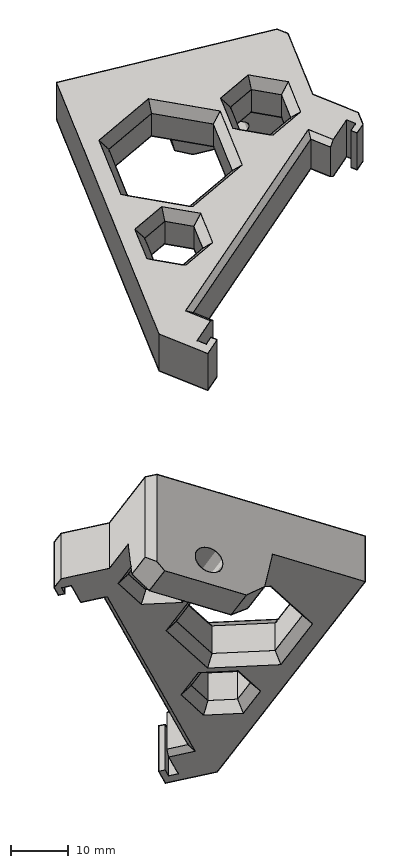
import cadquery as cq
import math

LENGTH = 66
WIDTH = 47.85
HEIGHT = 20.7
PLATE_THICKNESS = 10.0
PLATE_BOTTOM = HEIGHT - PLATE_THICKNESS
BODY_WIDTH = 41.6
CORNER_CUT = 1.5

REACH_EDGE = 63.0
REACH_SHOULDER = 68.5
REACH_SLOT = 71.0
REACH_TIP = 72.7
SHIFT_MIDDLE = -17.2
SHOULDER_INNER = 31.1
LIP = 37.0
SLOT_END = 39.55
LOWER_OUTSIDE = REACH_TIP - 2 * LENGTH
UPPER_OUTSIDE = 25.75
EDGE_CHAMFER = 1.0

WINDOWS = [(21.0, 14.1, 10.95), (15.45, 32.2, 5.35), (39.0, 9.05, 5.15)]
WINDOW_CHAMFER_WIDTH = 1.5
WINDOW_CHAMFER_DEPTH = 2

TAB_TOP_DEPTH = 8.3
TAB_BOTTOM_DEPTH = 6.2
TAB_TOP_START = 17.8
TAB_SIDE_START = 19.35
TAB_BOTTOM_START = 22.85
TAB_CORNER_HEIGHT = 3.05
HOLE_DIAMETER = 5.3
HOLE_Y = 30.0
HOLE_Z = 5.3


def diagonal_point(reach, shift):
    """Convert diagonal coordinates to x, y."""
    return ((reach - shift) / 2, (reach + shift) / 2)


def hook_points(side):
    """Outline from lip tip to the inner shoulder corner; side is +1 for the upper hook, -1 for the lower."""
    corners = [
        (REACH_TIP, LIP),
        (REACH_SLOT, LIP),
        (REACH_SLOT, SLOT_END),
        (REACH_SHOULDER, SLOT_END),
        (REACH_SHOULDER, SHOULDER_INNER),
        (REACH_EDGE, SHOULDER_INNER),
    ]
    return [diagonal_point(reach, SHIFT_MIDDLE + side * offset) for reach, offset in corners]


def make_plate():
    outline = [
        (0, 0),
        (-LOWER_OUTSIDE, 0),
        diagonal_point(REACH_TIP, LOWER_OUTSIDE),
        *hook_points(-1),
        *reversed(hook_points(1)),
        (REACH_TIP - WIDTH, WIDTH),
        (WIDTH - UPPER_OUTSIDE, WIDTH),
        (BODY_WIDTH - UPPER_OUTSIDE, BODY_WIDTH),
        (CORNER_CUT, BODY_WIDTH),
        (0, BODY_WIDTH - CORNER_CUT),
    ]
    return cq.Workplane("XY", origin=(0, 0, PLATE_BOTTOM)).polyline(outline).close().extrude(PLATE_THICKNESS)


def window_cutter(x, y, radius):
    """Hexagonal through cutter, flared by the chamfer at both plate faces."""
    flared_radius = radius + WINDOW_CHAMFER_WIDTH / math.cos(math.pi / 6)
    cutter = (
        cq.Workplane("XY", origin=(x, y, PLATE_BOTTOM))
        .polygon(6, 2 * flared_radius)
        .workplane(offset=WINDOW_CHAMFER_DEPTH)
        .polygon(6, 2 * radius)
        .loft(ruled=True)
    )
    straight = cq.Workplane("XY", origin=(x, y, PLATE_BOTTOM)).polygon(6, 2 * radius).extrude(PLATE_THICKNESS)
    middle = PLATE_BOTTOM + PLATE_THICKNESS / 2
    return straight.union(cutter).union(cutter.mirror("XY", (0, 0, middle)))


def edge_bevel_cutter():
    """Wedges that bevel the diagonal edge and both shoulders at the top and bottom faces."""
    def recess(offset, z):
        grow = offset * math.sqrt(2)
        near = REACH_EDGE - grow
        far = REACH_SHOULDER
        half = SHOULDER_INNER + grow
        corners = [(near, -half), (far, -half), (far, half), (near, half)]
        points = [diagonal_point(reach, SHIFT_MIDDLE + shift) for reach, shift in corners]
        return cq.Workplane("XY", origin=(0, 0, z)).polyline(points).close().wire().val()

    cutter = cq.Workplane("XY")
    for face, inward in [(HEIGHT, -1), (PLATE_BOTTOM, 1)]:
        wires = [recess(EDGE_CHAMFER, face), recess(0, face + inward * EDGE_CHAMFER)]
        cutter = cutter.add(cq.Solid.makeLoft(wires, True))
    return cutter.combine()


def make_tab():
    side = (
        cq.Workplane("YZ")
        .polyline([
            (TAB_TOP_START, PLATE_BOTTOM),
            (TAB_SIDE_START, TAB_CORNER_HEIGHT),
            (TAB_BOTTOM_START, 0),
            (BODY_WIDTH - TAB_CORNER_HEIGHT, 0),
            (BODY_WIDTH, TAB_CORNER_HEIGHT),
            (BODY_WIDTH, PLATE_BOTTOM),
        ])
        .close()
        .extrude(TAB_TOP_DEPTH)
    )
    taper = (
        cq.Workplane("XZ")
        .polyline([(0, 0), (TAB_BOTTOM_DEPTH, 0), (TAB_TOP_DEPTH, PLATE_BOTTOM), (0, PLATE_BOTTOM)])
        .close()
        .extrude(-BODY_WIDTH)
    )
    corner = (
        cq.Workplane("XY")
        .polyline([(0, BODY_WIDTH - CORNER_CUT), (CORNER_CUT, BODY_WIDTH), (0, BODY_WIDTH)])
        .close()
        .extrude(PLATE_BOTTOM)
    )
    hole = cq.Workplane("YZ").center(HOLE_Y, HOLE_Z).circle(HOLE_DIAMETER / 2).extrude(TAB_TOP_DEPTH)
    return side.intersect(taper).cut(corner).cut(hole)


plate = make_plate()
for window in WINDOWS:
    plate = plate.cut(window_cutter(*window))
plate = plate.cut(edge_bevel_cutter())

result = plate.union(make_tab())